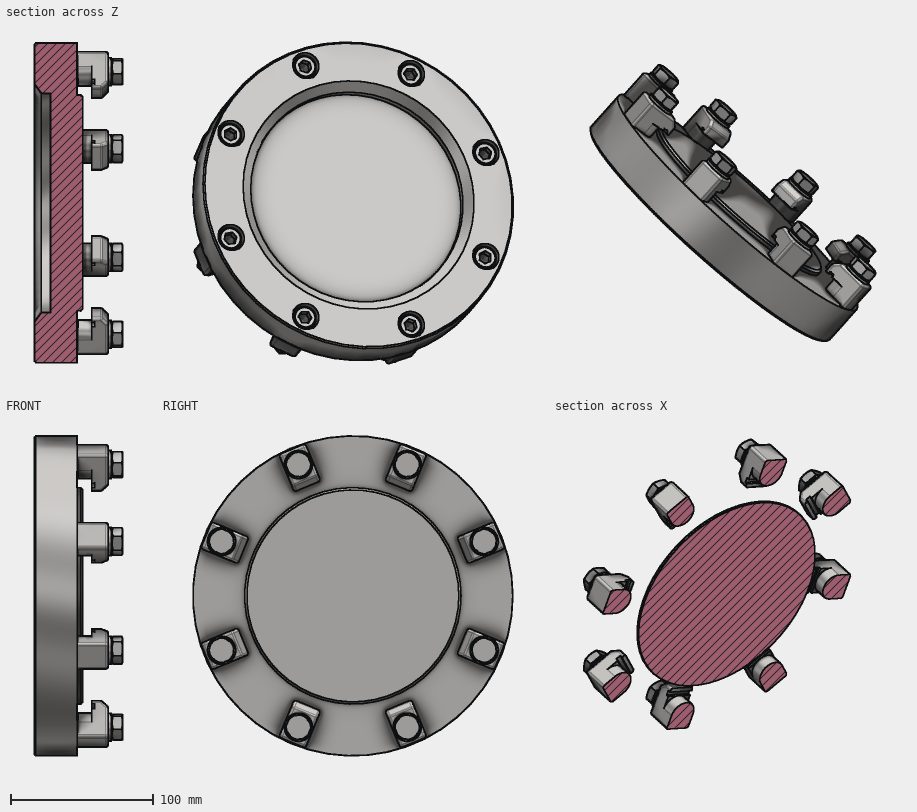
import cadquery as cq
import math

FLANGE_RADIUS = 112.5
FLANGE_THICKNESS = 30.2
FRONT_CHAMFER = 1.1

BOSS_RADIUS = 76.0
BOSS_HEIGHT = 4.0
BOSS_CHAMFER = 1.5

RECESS_MOUTH_RADIUS = 83.7
RECESS_RADIUS = 77.0
RECESS_CONE_DEPTH = 5.0
RECESS_WALL_DEPTH = 6.3

CLAMP_COUNT = 8
CLAMP_PITCH = 360 / CLAMP_COUNT
BOLT_CIRCLE_RADIUS = 100.0

CLAMP_WIDTH = 20.2
CLAMP_HEIGHT = 21.8
CLAMP_OUTER_RADIUS = 111.5
CLAMP_TIP_RADIUS = 83.2
CLAMP_TIP_CHAMFER = 4.7
CLAMP_FILLET = 2.0
JAW_CLEARANCE = 10.1
HEEL_INNER_RADIUS = 107.8
HEEL_HEIGHT = 0.5
GROOVE_INNER_RADIUS = 86.5
GROOVE_WIDTH = 3.5
GROOVE_DEPTH = 2.0

SHANK_RADIUS = 5.0
HEAD_RADIUS = 8.0
HEAD_HEIGHT = 10.0
HEAD_CHAMFER = 1.0
HEAD_RECESS = 2.0
BORE_RADIUS = 9.5
SOCKET_FLATS = 8.0
SOCKET_DEPTH = 5.6
SOCKET_TURN = 7.5
SOCKET_CONE_DEPTH = 2.7

WASHER_RADIUS = 10.0
WASHER_THICKNESS = 2.0
NUT_FLATS = 17.0
NUT_HEIGHT = 7.5
NUT_COLLAR_RADIUS = 8.0
NUT_COLLAR_HEIGHT = 0.7
NUT_BEVEL_ANGLE = 30

CLAMP_TOP = FLANGE_THICKNESS + CLAMP_HEIGHT
WASHER_TOP = CLAMP_TOP + WASHER_THICKNESS
NUT_BASE = WASHER_TOP + NUT_COLLAR_HEIGHT
NUT_TOP = NUT_BASE + NUT_HEIGHT


def revolved(outline):
    """Turn a closed (x, radius) outline about the X axis."""
    return cq.Workplane("XY").polyline(outline).close().revolve(360, (0, 0, 0), (1, 0, 0))


def rod(x_start, x_end, radius):
    """Cylinder along X, centred on the X axis."""
    return cq.Workplane("YZ", origin=(x_start, 0, 0)).circle(radius).extrude(x_end - x_start)


def hex_prism(x_start, x_end, across_flats):
    """Hexagonal prism along X with two corners pointing along Z."""
    across_corners = across_flats / math.cos(math.radians(30))
    prism = cq.Workplane("YZ", origin=(x_start, 0, 0)).polygon(6, across_corners).extrude(x_end - x_start)
    return prism.rotate((0, 0, 0), (1, 0, 0), 90)


def block(x_start, x_end, z_start, z_end):
    """Box across the full clamp width, centred on Y."""
    depth, height = x_end - x_start, z_end - z_start
    box = cq.Workplane("XY").box(depth, CLAMP_WIDTH, height, centered=(False, True, False))
    return box.translate((x_start, 0, z_start))


def on_bolt_circle(body):
    """Move a body from the X axis to the bolt position above it."""
    return body.translate((0, 0, BOLT_CIRCLE_RADIUS))


def make_flange():
    boss_face = FLANGE_THICKNESS + BOSS_HEIGHT
    recess_floor = RECESS_CONE_DEPTH + RECESS_WALL_DEPTH
    return revolved([
        (recess_floor, 0),
        (recess_floor, RECESS_RADIUS),
        (RECESS_CONE_DEPTH, RECESS_RADIUS),
        (0, RECESS_MOUTH_RADIUS),
        (0, FLANGE_RADIUS - FRONT_CHAMFER),
        (FRONT_CHAMFER, FLANGE_RADIUS),
        (FLANGE_THICKNESS, FLANGE_RADIUS),
        (FLANGE_THICKNESS, BOSS_RADIUS),
        (boss_face - BOSS_CHAMFER, BOSS_RADIUS),
        (boss_face, BOSS_RADIUS - BOSS_CHAMFER),
        (boss_face, 0),
    ])


def make_clamp():
    """Claw clamp whose jaw points towards the flange axis."""
    jaw_face = FLANGE_THICKNESS + JAW_CLEARANCE
    body = (
        block(FLANGE_THICKNESS, CLAMP_TOP, CLAMP_TIP_RADIUS, CLAMP_OUTER_RADIUS)
        .edges(">X and <Z").chamfer(CLAMP_TIP_CHAMFER)
        .edges("not <X").fillet(CLAMP_FILLET)
    )

    jaw_space = block(FLANGE_THICKNESS, jaw_face, CLAMP_TIP_RADIUS, BOLT_CIRCLE_RADIUS)
    leg_end = on_bolt_circle(rod(FLANGE_THICKNESS, jaw_face, CLAMP_WIDTH / 2))
    body = body.cut(jaw_space.cut(leg_end))

    foot_gap = block(
        FLANGE_THICKNESS, FLANGE_THICKNESS + HEEL_HEIGHT, CLAMP_TIP_RADIUS, HEEL_INNER_RADIUS
    )
    groove = block(
        jaw_face, jaw_face + GROOVE_DEPTH, GROOVE_INNER_RADIUS, GROOVE_INNER_RADIUS + GROOVE_WIDTH
    )
    return body.cut(foot_gap).cut(groove)


def make_nut():
    """Hexagon nut with its corners bevelled at both ends and a round collar under it."""
    end_radius = NUT_FLATS / 2
    corner_radius = end_radius / math.cos(math.radians(30))
    bevel = (corner_radius - end_radius) * math.tan(math.radians(NUT_BEVEL_ANGLE))
    envelope = revolved([
        (NUT_BASE, 0),
        (NUT_BASE, end_radius),
        (NUT_BASE + bevel, corner_radius),
        (NUT_TOP - bevel, corner_radius),
        (NUT_TOP, end_radius),
        (NUT_TOP, 0),
    ])
    collar = rod(WASHER_TOP, NUT_BASE, NUT_COLLAR_RADIUS)
    return hex_prism(NUT_BASE, NUT_TOP, NUT_FLATS).intersect(envelope).union(collar)


def make_socket():
    """Hexagon socket whose bottom narrows to a drill point."""
    socket_radius = SOCKET_FLATS / 2 / math.cos(math.radians(30))
    cone_start = HEAD_RECESS + SOCKET_DEPTH
    cone_tip = cone_start + SOCKET_CONE_DEPTH
    envelope = revolved([
        (HEAD_RECESS, 0),
        (HEAD_RECESS, socket_radius),
        (cone_start, socket_radius),
        (cone_tip, 0),
    ])
    prism = hex_prism(HEAD_RECESS, cone_tip, SOCKET_FLATS)
    return prism.intersect(envelope).rotate((0, 0, 0), (1, 0, 0), SOCKET_TURN)


def make_bolt():
    """Bolt with its washer and nut, lying on the X axis."""
    head = rod(HEAD_RECESS, HEAD_RECESS + HEAD_HEIGHT, HEAD_RADIUS).faces("<X").chamfer(HEAD_CHAMFER)
    shank = rod(HEAD_RECESS + HEAD_HEIGHT, NUT_TOP, SHANK_RADIUS)
    washer = rod(CLAMP_TOP, WASHER_TOP, WASHER_RADIUS)
    return head.cut(make_socket()).union(shank).union(washer).union(make_nut())


bore = on_bolt_circle(rod(0, HEAD_RECESS + HEAD_HEIGHT, BORE_RADIUS))
clamp_set = make_clamp().union(on_bolt_circle(make_bolt()))

result = make_flange()
for index in range(CLAMP_COUNT):
    angle = CLAMP_PITCH * (index + 0.5)
    result = result.cut(bore.rotate((0, 0, 0), (1, 0, 0), angle))
    result = result.union(clamp_set.rotate((0, 0, 0), (1, 0, 0), angle))